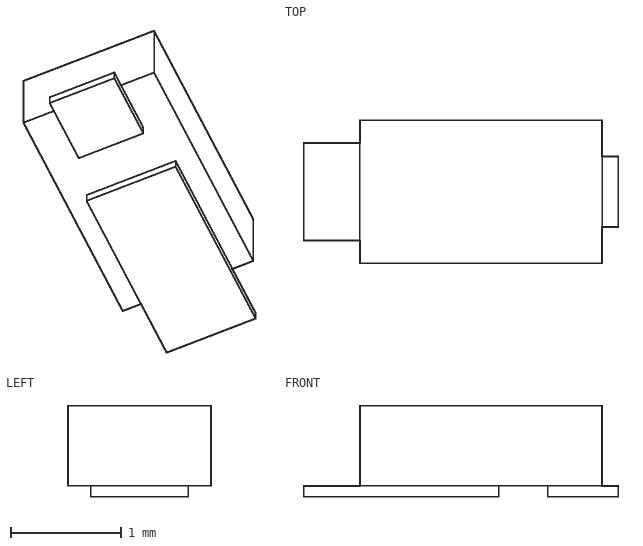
import cadquery as cq

total_length = 2.86
total_height = 0.83

terminal_thickness = 0.1
large_terminal_length = 1.773
large_terminal_width = 0.887
small_terminal_length = 0.644
small_terminal_width = 0.644

housing_width = 1.3
large_terminal_overhang = 0.512
small_terminal_overhang = 0.15
housing_length = total_length - large_terminal_overhang - small_terminal_overhang
housing_height = total_height - terminal_thickness


def make_block(start_x, base_z, length, width, height):
    """Block that starts at start_x, rests at base_z and is centred across Y."""
    return (
        cq.Workplane("XY")
        .box(length, width, height, centered=(False, True, False))
        .translate((start_x, 0, base_z))
    )


def make_housing():
    """Plain rectangular package body resting on the terminals."""
    return make_block(
        large_terminal_overhang, terminal_thickness, housing_length, housing_width, housing_height
    )


def make_large_terminal():
    """Wide terminal that reaches out past the -X end of the housing."""
    return make_block(0, 0, large_terminal_length, large_terminal_width, terminal_thickness)


def make_small_terminal():
    """Narrow terminal that reaches out past the +X end of the housing."""
    start_x = total_length - small_terminal_length
    return make_block(start_x, 0, small_terminal_length, small_terminal_width, terminal_thickness)


housing = make_housing()
large_terminal = make_large_terminal()
small_terminal = make_small_terminal()

result = cq.Compound.makeCompound([housing.val(), large_terminal.val(), small_terminal.val()])